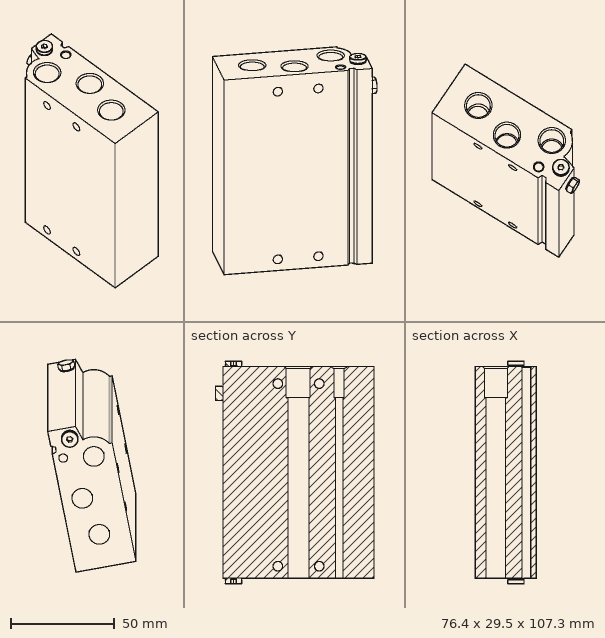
import cadquery as cq
import math


overall_height = 107.3
block_length = 72.9
block_depth = 29.5
knob_height = 2.6
block_height = overall_height - 2 * knob_height

left_face_front_y = 15.9
lobe_radius = 10.0
lobe_top_y = 13.6
shoulder_bulge = 0.09
front_face_left_x = 11.6

edge_radius = 0.3

groove_center_x = 9.8
groove_mouth_width = 4.3
groove_floor_width = 2.4
groove_depth = 2.1

port_centers = [(16.6, 10.0), (36.3, 19.4), (56.0, 14.3)]
passage_offsets = [(0, 0), (0.2, 0), (0, 0.5)]
port_mouth_diameter = 13.2
port_diameter = 11.5
port_depth = 15.0
passage_diameter = 10.0

small_port_center = (14.7, 24.7)
small_port_mouth_diameter = 5.0
small_port_diameter = 4.2

mount_hole_diameter = 4.5
mount_hole_xs = [26.5, 46.5]
mount_hole_zs = [5.9, 93.9]

hex_sides = 6

knob_center = (5.2, 19.6)
knob_diameter = 8.0
knob_neck_diameter = 7.7
knob_neck_height = 0.5
knob_flare_height = 0.2
knob_top_chamfer = 0.2
socket_corner_diameter = 3.0
socket_depth = 2.1

screw_center_y = 20.0
screw_center_z = block_height - 13.0
screw_head_thickness = 3.0
screw_head_corner_diameter = 8.0
screw_face_diameter = 6.9
screw_neck_diameter = 6.8
screw_neck_length = 0.5
screw_chamfer_height = 0.3


def lobe_bottom_y():
    """Y position at which the lobe ends, above the front face."""
    lobe_x, lobe_y = port_centers[0]
    return lobe_y - math.sqrt(lobe_radius**2 - (front_face_left_x - lobe_x) ** 2)


def round_edge_near(body, x, y):
    """Fillet the vertical edge that passes nearest to the point (x, y)."""
    edge = cq.selectors.NearestToPointSelector((x, y, block_height / 2))
    return body.edges("|Z").edges(edge).fillet(edge_radius)


def block_outline():
    """Closed outline of the block in XY, with a lobe concentric with the first port."""
    lobe_x, lobe_y = port_centers[0]
    lobe_top_x = lobe_x - math.sqrt(lobe_radius**2 - (lobe_top_y - lobe_y) ** 2)
    groove_floor_y = block_depth - groove_depth
    return (
        cq.Workplane("XY")
        .moveTo(0, left_face_front_y)
        .lineTo(0, block_depth)
        .lineTo(groove_center_x - groove_mouth_width / 2, block_depth)
        .lineTo(groove_center_x - groove_floor_width / 2, groove_floor_y)
        .lineTo(groove_center_x + groove_floor_width / 2, groove_floor_y)
        .lineTo(groove_center_x + groove_mouth_width / 2, block_depth)
        .lineTo(block_length, block_depth)
        .lineTo(block_length, 0)
        .lineTo(front_face_left_x, 0)
        .lineTo(front_face_left_x, lobe_bottom_y())
        .threePointArc((lobe_x - lobe_radius, lobe_y), (lobe_top_x, lobe_top_y))
        .sagittaArc((0, left_face_front_y), shoulder_bulge)
        .close()
    )


def top_hole(center, diameter, mouth_diameter, depth):
    """Cutter for a hole going down from the top face, with a 45 degree chamfer at its mouth."""
    radius = diameter / 2
    mouth_radius = mouth_diameter / 2
    chamfer = mouth_radius - radius
    return (
        cq.Workplane("XZ")
        .moveTo(0, block_height - depth)
        .lineTo(radius, block_height - depth)
        .lineTo(radius, block_height - chamfer)
        .lineTo(mouth_radius, block_height)
        .lineTo(0, block_height)
        .close()
        .revolve(360, (0, 0, 0), (0, 1, 0))
        .translate((*center, 0))
    )


def make_block():
    """Block with its ports, small port and mounting holes."""
    block = block_outline().extrude(block_height)
    block = round_edge_near(block, block_length, 0)
    block = round_edge_near(block, front_face_left_x, lobe_bottom_y())

    for center, offset in zip(port_centers, passage_offsets):
        passage_center = (center[0] + offset[0], center[1] + offset[1])
        passage = (
            cq.Workplane("XY").center(*passage_center).circle(passage_diameter / 2).extrude(block_height)
        )
        block = block.cut(top_hole(center, port_diameter, port_mouth_diameter, port_depth))
        block = block.cut(passage)

    block = block.cut(
        top_hole(small_port_center, small_port_diameter, small_port_mouth_diameter, block_height)
    )

    mount_holes = (
        cq.Workplane("XZ")
        .pushPoints([(x, z) for x in mount_hole_xs for z in mount_hole_zs])
        .circle(mount_hole_diameter / 2)
        .extrude(-block_depth)
    )
    return block.cut(mount_holes)


def make_knob():
    """Knob standing on Z = 0: a neck flaring into a chamfered head, and a hex socket with corners along Y."""
    head_radius = knob_diameter / 2
    neck_radius = knob_neck_diameter / 2
    body = (
        cq.Workplane("XZ")
        .lineTo(neck_radius, 0)
        .lineTo(neck_radius, knob_neck_height)
        .lineTo(head_radius, knob_neck_height + knob_flare_height)
        .lineTo(head_radius, knob_height - knob_top_chamfer)
        .lineTo(head_radius - knob_top_chamfer, knob_height)
        .lineTo(0, knob_height)
        .close()
        .revolve(360, (0, 0, 0), (0, 1, 0))
    )
    socket = (
        cq.Workplane("XY")
        .workplane(offset=knob_height - socket_depth)
        .polygon(hex_sides, socket_corner_diameter)
        .extrude(socket_depth)
        .rotate((0, 0, 0), (0, 0, 1), 90)
    )
    return body.cut(socket)


def place_knobs():
    """One knob on the top face and its mirror image under the bottom face."""
    knobs = []
    for base_z, flip_angle in [(block_height, 0), (0, 180)]:
        knob = make_knob().rotate((0, 0, 0), (1, 0, 0), flip_angle)
        knobs.append(knob.translate((*knob_center, base_z)))
    return knobs


def make_screw():
    """Hex head on a round neck, pointing along -X, with the head's corners along Y."""
    neck = cq.Workplane("XY").circle(screw_neck_diameter / 2).extrude(screw_neck_length)
    hexagon = (
        cq.Workplane("XY")
        .workplane(offset=screw_neck_length)
        .polygon(hex_sides, screw_head_corner_diameter)
        .extrude(screw_head_thickness)
        .rotate((0, 0, 0), (0, 0, 1), 90)
    )
    corner_trim = (
        cq.Workplane("XY")
        .workplane(offset=screw_neck_length)
        .circle(screw_head_corner_diameter / 2)
        .extrude(screw_head_thickness)
        .edges("%CIRCLE")
        .chamfer(screw_chamfer_height, (screw_head_corner_diameter - screw_face_diameter) / 2)
    )
    screw = neck.union(hexagon.intersect(corner_trim))
    return screw.rotate((0, 0, 0), (0, 1, 0), -90).translate((0, screw_center_y, screw_center_z))


block = make_block()
knobs = place_knobs()
screw = make_screw()

result = cq.Compound.makeCompound([block.val(), *[knob.val() for knob in knobs], screw.val()])